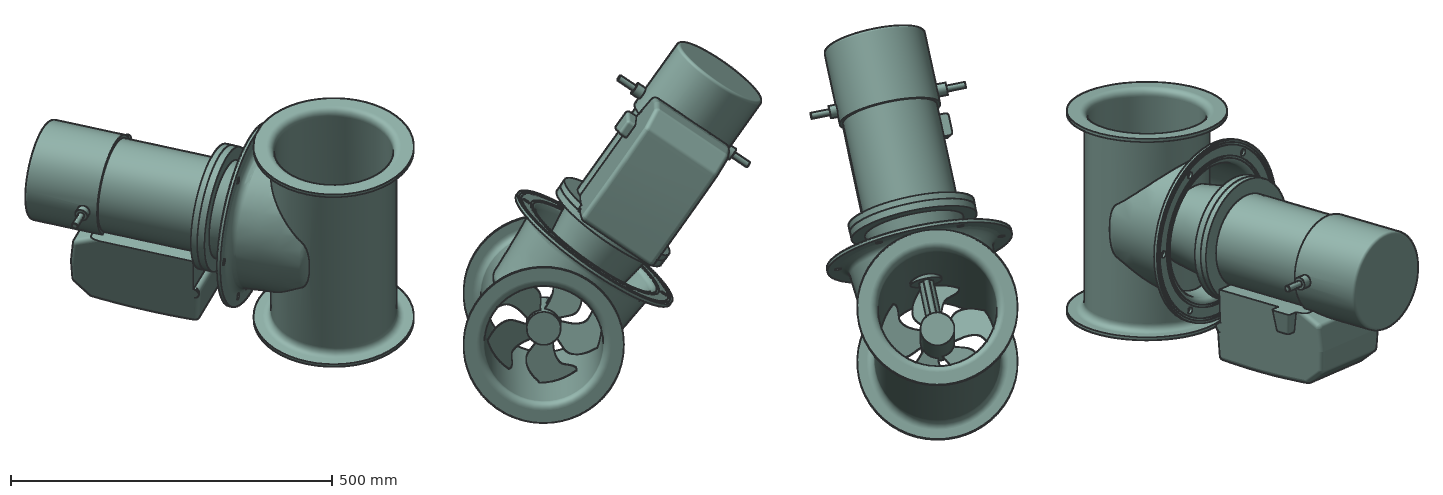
import cadquery as cq
import math

THRUSTER_TILT = -2.0

OVERALL_HEIGHT = 349.31
HALF_ROUND = math.sqrt(0.5)

PIPE_RADIUS = 98.0
PIPE_BORE_RADIUS = 92.5
PIPE_FLANGE_RADIUS = 125.0
PIPE_HALF_HEIGHT = 168.0
PIPE_FLANGE_THICKNESS = 5.5
PIPE_FLARE_RADIUS = 12.0

MOUNT_FLANGE_RADIUS = 147.0
MOUNT_FLANGE_THICKNESS = 5.7
MOUNT_FACE_DISTANCE = 140.4
MOUNT_BACK_DISTANCE = MOUNT_FACE_DISTANCE - MOUNT_FLANGE_THICKNESS
BOLT_COUNT = 6
BOLT_HOLE_DIAMETER = 10.5
BOLT_CIRCLE_RADIUS = 130.0
GROOVE_INNER_RADII = (117.5, 139.0)
GROOVE_WIDTH = 4.0
GROOVE_DEPTH = 1.5
COLLAR_RADIUS_AT_FLANGE = 114.0
COLLAR_RADIUS_AT_END = 104.5
COLLAR_END_DISTANCE = 1.5
COLLAR_END_FILLET = 18.5
COLLAR_WALL = 5.7
COLLAR_CAVITY_END = COLLAR_END_DISTANCE + COLLAR_END_FILLET
COLLAR_FLARE_RADIUS = 14.0
COLLAR_MOUTH_FILLET = 10.0

MOTOR_COVER_RADIUS = 80.0
MOTOR_COVER_END = 483.4
MOTOR_COVER_START = 363.0
MOTOR_COVER_FILLET = 5.0
MOTOR_RADIUS = 75.0
MOTOR_FLANGE_RADIUS = 100.0
BRACKET_FLANGE_RADIUS = 99.7
MOTOR_FLANGE_END = 200.5
MOTOR_FLANGE_SEAM = 190.0
BRACKET_FLANGE_START = 178.0
LEG_RADIUS_AT_BRACKET = 78.5
LEG_TAPER = 0.152
SEAT_RADIUS = 25.0
SEAT_INNER_DISTANCE = 86.0
STRUT_RADIUS = 11.5
STRUT_RIB_RADIUS = 5.0
STRUT_RIB_Z = STRUT_RADIUS + 2.0

EQUIPMENT_OFFSET = 1.8

TERMINAL_DISTANCE = 385.0
TERMINAL_BOSS_RADIUS = 10.0
TERMINAL_BOSS_REACH = 93.0
TERMINAL_PIN_RADIUS = 5.0
TERMINAL_PIN_REACH = 123.0
TERMINAL_PIN_CHAMFER = 0.65

BOX_TOP_HALF_WIDTH = 73.2
BOX_DRAFT_ANGLE = 2.3
BOX_TOP_Z = -58.6
BOX_BOTTOM_Z = PIPE_HALF_HEIGHT - OVERALL_HEIGHT
BOX_FRONT = 207.2
BOX_STEP_Z = -114.5
BOX_SLOPE_TOP = (-379.0, BOX_TOP_Z)
BOX_SLOPE_FOOT = (-408.0, -72.0)
BOX_REAR = (-412.5, -114.5)
BOX_REAR_FOOT = (-410.5, -150.5)
BOX_BOTTOM_REAR = (-380.0, -176.5)
BOX_BOTTOM = (-270.0, BOX_BOTTOM_Z)
BOX_BOTTOM_FRONT = (-200.5, -179.0)
BOX_STEP_CORNER = (-197.0, BOX_STEP_Z)
BOX_CORNER_RADIUS = 8.0
BOX_FILLET = 7.5
BOX_DRAFT_LENGTH = 400.0
BOX_DRAFT_DEPTH = 200.0
BOX_BARREL_RADIUS = 8.5
BOX_EDGE_MARGIN = 1.0
LUG_CENTRE = 344.0
LUG_LENGTH = 36.0
LUG_REACH = 92.5
LUG_HEIGHT = 37.0
LUG_DRAFT_ANGLE = 8.0
LUG_FILLET = 5.0

HUB_RADIUS = 26.5
HUB_TOP_Z = 35.0
HUB_BOTTOM_Z = -60.0
BLADE_COUNT = 5
BLADE_TIP_RADIUS = 90.0
BLADE_THICKNESS = 3.0
BLADE_PITCH = 15.0
BLADE_Z = -40.0
BLADE_BLANK = 100.0
BLADE_ROOT_LEFT = (-20.0, 21.6)
BLADE_LEADING_EDGE = [(-29.3, 27.7), (-40.0, 37.5), (-43.0, 49.0), (-41.0, 65.0), (-33.5, 82.0)]
BLADE_TRAILING_EDGE = [(27.5, 81.5), (17.5, 73.0), (8.3, 66.8), (4.2, 58.0), (3.7, 41.5), (6.7, 26.0)]
BLADE_ROOT_RIGHT = (5.0, 15.0)
BLADE_ROOT_INSIDE = (-15.0, 15.0)


def tilted(shape):
    return shape.rotate((0, 0, 0), (0, 0, 1), THRUSTER_TILT)


def turned_about_thruster_axis(profile):
    return profile.close().revolve(360, (0, 0, 0), (1, 0, 0))


def disc(start, end, radius):
    """Cylinder on the untilted thruster axis between two distances from the pipe axis."""
    return cq.Workplane("YZ").workplane(offset=-end).circle(radius).extrude(end - start)


def cylinder_on_z(radius, bottom, top):
    return cq.Workplane("XY").workplane(offset=bottom).circle(radius).extrude(top - bottom)


def flared_half_pipe(wall_radius, flange_face_z):
    """Solid of revolution for z >= 0 whose wall opens in a quarter-round flare at flange_face_z."""
    flare = PIPE_FLARE_RADIUS
    mid = flare * (1 - HALF_ROUND)
    return (
        cq.Workplane("XZ")
        .moveTo(0, 0)
        .lineTo(wall_radius, 0)
        .lineTo(wall_radius, flange_face_z - flare)
        .threePointArc((wall_radius + mid, flange_face_z - mid), (wall_radius + flare, flange_face_z))
        .lineTo(0, flange_face_z)
        .close()
        .revolve(360, (0, 0, 0), (0, 1, 0))
    )


def make_pipe():
    flange_back_z = PIPE_HALF_HEIGHT - PIPE_FLANGE_THICKNESS
    upper = flared_half_pipe(PIPE_RADIUS, flange_back_z)
    upper = upper.union(cylinder_on_z(PIPE_FLANGE_RADIUS, flange_back_z, PIPE_HALF_HEIGHT))
    upper = upper.cut(flared_half_pipe(PIPE_BORE_RADIUS, PIPE_HALF_HEIGHT))
    return upper.union(upper.mirror("XY"))


def make_collar():
    mid = COLLAR_FLARE_RADIUS * (1 - HALF_ROUND)
    flare_start = MOUNT_BACK_DISTANCE - COLLAR_FLARE_RADIUS
    outside = turned_about_thruster_axis(
        cq.Workplane("XY")
        .moveTo(-COLLAR_END_DISTANCE, 0)
        .lineTo(-COLLAR_END_DISTANCE, COLLAR_RADIUS_AT_END)
        .lineTo(-flare_start, COLLAR_RADIUS_AT_FLANGE)
        .threePointArc(
            (-(MOUNT_BACK_DISTANCE - mid), COLLAR_RADIUS_AT_FLANGE + mid),
            (-MOUNT_BACK_DISTANCE, COLLAR_RADIUS_AT_FLANGE + COLLAR_FLARE_RADIUS),
        )
        .lineTo(-MOUNT_BACK_DISTANCE, 0)
    )
    outside = outside.faces(">X").edges().fillet(COLLAR_END_FILLET)
    collar = outside.union(disc(MOUNT_BACK_DISTANCE, MOUNT_FACE_DISTANCE, MOUNT_FLANGE_RADIUS))

    taper = (COLLAR_RADIUS_AT_FLANGE - COLLAR_RADIUS_AT_END) / (flare_start - COLLAR_END_DISTANCE)
    mouth_radius = COLLAR_RADIUS_AT_FLANGE - COLLAR_WALL
    cavity_end_radius = mouth_radius - taper * (flare_start - COLLAR_CAVITY_END)
    mouth_start = MOUNT_FACE_DISTANCE - COLLAR_MOUTH_FILLET
    mouth_mid = COLLAR_MOUTH_FILLET * (1 - HALF_ROUND)
    cavity = turned_about_thruster_axis(
        cq.Workplane("XY")
        .moveTo(-COLLAR_CAVITY_END, 0)
        .lineTo(-COLLAR_CAVITY_END, cavity_end_radius)
        .lineTo(-mouth_start, mouth_radius)
        .threePointArc(
            (-(MOUNT_FACE_DISTANCE - mouth_mid), mouth_radius + mouth_mid),
            (-MOUNT_FACE_DISTANCE, mouth_radius + COLLAR_MOUTH_FILLET),
        )
        .lineTo(-MOUNT_FACE_DISTANCE, 0)
    )
    collar = collar.cut(cavity)

    for inner_radius in GROOVE_INNER_RADII:
        groove = disc(MOUNT_FACE_DISTANCE - GROOVE_DEPTH, MOUNT_FACE_DISTANCE, inner_radius + GROOVE_WIDTH)
        core = disc(MOUNT_FACE_DISTANCE - GROOVE_DEPTH, MOUNT_FACE_DISTANCE, inner_radius)
        collar = collar.cut(groove.cut(core))

    bolt_holes = (
        cq.Workplane("YZ")
        .workplane(offset=-MOUNT_FACE_DISTANCE)
        .polarArray(BOLT_CIRCLE_RADIUS, 0, 360, BOLT_COUNT)
        .circle(BOLT_HOLE_DIAMETER / 2)
        .extrude(MOUNT_FLANGE_THICKNESS)
    )
    return tilted(collar.cut(bolt_holes))


def make_tunnel():
    pipe_core = cylinder_on_z(PIPE_BORE_RADIUS, -PIPE_HALF_HEIGHT, PIPE_HALF_HEIGHT)
    seat_hole = tilted(disc(0, MOUNT_FACE_DISTANCE, SEAT_RADIUS))
    return make_collar().cut(pipe_core).union(make_pipe()).cut(seat_hole)


def make_motor():
    cover = disc(MOTOR_COVER_START, MOTOR_COVER_END, MOTOR_COVER_RADIUS)
    cover = cover.faces("<X").edges().fillet(MOTOR_COVER_FILLET)
    motor = cover.union(disc(MOTOR_FLANGE_SEAM, MOTOR_COVER_START, MOTOR_RADIUS))
    motor = motor.union(disc(MOTOR_FLANGE_SEAM, MOTOR_FLANGE_END, MOTOR_FLANGE_RADIUS))
    return motor.union(disc(BRACKET_FLANGE_START, MOTOR_FLANGE_SEAM, BRACKET_FLANGE_RADIUS))


def make_terminal(side):
    """Terminal post on the +Y (side = 1) or -Y (side = -1) flank of the motor cover."""
    base = cq.Workplane("XZ", origin=(-TERMINAL_DISTANCE, EQUIPMENT_OFFSET, 0))
    boss = base.circle(TERMINAL_BOSS_RADIUS).extrude(-side * TERMINAL_BOSS_REACH)
    pin = base.circle(TERMINAL_PIN_RADIUS).extrude(-side * TERMINAL_PIN_REACH)
    tip = ">Y" if side > 0 else "<Y"
    return boss.union(pin.faces(tip).edges().chamfer(TERMINAL_PIN_CHAMFER))


def make_controller_box():
    """Box with drafted flanks; its rear, bottom and lower front edges are rounded, its top edges sharp."""
    box = (
        cq.Workplane("XZ")
        .moveTo(-BOX_FRONT, BOX_TOP_Z)
        .lineTo(*BOX_SLOPE_TOP)
        .lineTo(*BOX_SLOPE_FOOT)
        .lineTo(*BOX_REAR)
        .lineTo(*BOX_REAR_FOOT)
        .lineTo(*BOX_BOTTOM_REAR)
        .threePointArc(BOX_BOTTOM, BOX_BOTTOM_FRONT)
        .lineTo(*BOX_STEP_CORNER)
        .lineTo(-BOX_FRONT, BOX_STEP_Z)
        .close()
        .extrude(BOX_TOP_HALF_WIDTH, both=True)
    )
    for x, z in (BOX_SLOPE_FOOT, BOX_REAR_FOOT, BOX_BOTTOM_REAR, BOX_BOTTOM_FRONT, BOX_STEP_CORNER):
        box = box.edges(cq.NearestToPointSelector((x, 0, z))).fillet(BOX_CORNER_RADIUS)

    drafted = (
        cq.Workplane("XY", origin=(BOX_BOTTOM[0], 0, BOX_TOP_Z))
        .rect(BOX_DRAFT_LENGTH, 2 * BOX_TOP_HALF_WIDTH)
        .extrude(-BOX_DRAFT_DEPTH, taper=BOX_DRAFT_ANGLE)
    )
    box = box.intersect(drafted)
    flank_edges = box.faces("<Y or >Y").edges("not(|X)")
    rounded_edges = flank_edges.filter(
        lambda edge: abs(edge.Center().x + BOX_FRONT) > BOX_EDGE_MARGIN
    )
    barrel = (
        cq.Workplane("XZ", origin=(-BOX_FRONT, 0, BOX_STEP_Z - BOX_BARREL_RADIUS))
        .circle(BOX_BARREL_RADIUS)
        .extrude(BOX_TOP_HALF_WIDTH, both=True)
        .intersect(drafted)
    )
    return rounded_edges.fillet(BOX_FILLET).union(barrel)


def make_lug():
    """Drafted lug beside the controller box on the +Y flank, with its top face sharp."""
    lug = (
        cq.Workplane("XY", origin=(-LUG_CENTRE, LUG_REACH / 2, BOX_TOP_Z))
        .rect(LUG_LENGTH, LUG_REACH)
        .extrude(-LUG_HEIGHT, taper=LUG_DRAFT_ANGLE)
    )
    return lug.edges("not(>Z)").fillet(LUG_FILLET)


def make_leg():
    leg = turned_about_thruster_axis(
        cq.Workplane("XY")
        .moveTo(0, 0)
        .lineTo(0, LEG_RADIUS_AT_BRACKET - LEG_TAPER * BRACKET_FLANGE_START)
        .lineTo(-BRACKET_FLANGE_START, LEG_RADIUS_AT_BRACKET)
        .lineTo(-BRACKET_FLANGE_START, 0)
    )
    return tilted(leg).cut(cylinder_on_z(PIPE_RADIUS, -PIPE_HALF_HEIGHT, PIPE_HALF_HEIGHT))


def make_strut():
    strut = disc(SEAT_INNER_DISTANCE, MOUNT_FACE_DISTANCE, SEAT_RADIUS)
    strut = strut.union(disc(0, MOUNT_FACE_DISTANCE, STRUT_RADIUS))
    rib = disc(0, SEAT_INNER_DISTANCE, STRUT_RIB_RADIUS).translate((0, 0, STRUT_RIB_Z))
    return tilted(strut.union(rib))


def make_blade():
    """Flat pitched blade pointing along +Y: its plan outline cut from a tilted plate and a tip cylinder."""
    outline = (
        cq.Workplane("XY", origin=(0, 0, -BLADE_BLANK))
        .moveTo(*BLADE_ROOT_LEFT)
        .spline(BLADE_LEADING_EDGE, includeCurrent=True)
        .lineTo(BLADE_LEADING_EDGE[-1][0], BLADE_BLANK)
        .lineTo(BLADE_TRAILING_EDGE[0][0], BLADE_BLANK)
        .lineTo(*BLADE_TRAILING_EDGE[0])
        .spline(BLADE_TRAILING_EDGE[1:], includeCurrent=True)
        .lineTo(*BLADE_ROOT_RIGHT)
        .lineTo(*BLADE_ROOT_INSIDE)
        .close()
        .extrude(2 * BLADE_BLANK)
    )
    plate = cq.Workplane("XY").box(2 * BLADE_BLANK, 2 * BLADE_BLANK, BLADE_THICKNESS)
    plate = plate.rotate((0, 0, 0), (0, 1, 0), -BLADE_PITCH)
    tip_cylinder = cylinder_on_z(BLADE_TIP_RADIUS, -BLADE_BLANK, BLADE_BLANK)
    return plate.intersect(outline).intersect(tip_cylinder).translate((0, 0, BLADE_Z))


def make_propeller():
    propeller = cylinder_on_z(HUB_RADIUS, HUB_BOTTOM_Z, HUB_TOP_Z)
    blade = make_blade()
    for index in range(BLADE_COUNT):
        angle = index * 360 / BLADE_COUNT
        propeller = propeller.union(blade.rotate((0, 0, 0), (0, 0, 1), angle))
    return propeller


def make_thruster():
    controller_box = make_controller_box().translate((0, EQUIPMENT_OFFSET, 0))
    drive = make_motor().union(controller_box).union(make_lug())
    for side in (1, -1):
        drive = drive.union(make_terminal(side))
    return tilted(drive).union(make_leg()).union(make_strut()).union(make_propeller())


tunnel = make_tunnel()
thruster = make_thruster()
result = cq.Compound.makeCompound([tunnel.val(), thruster.val()])